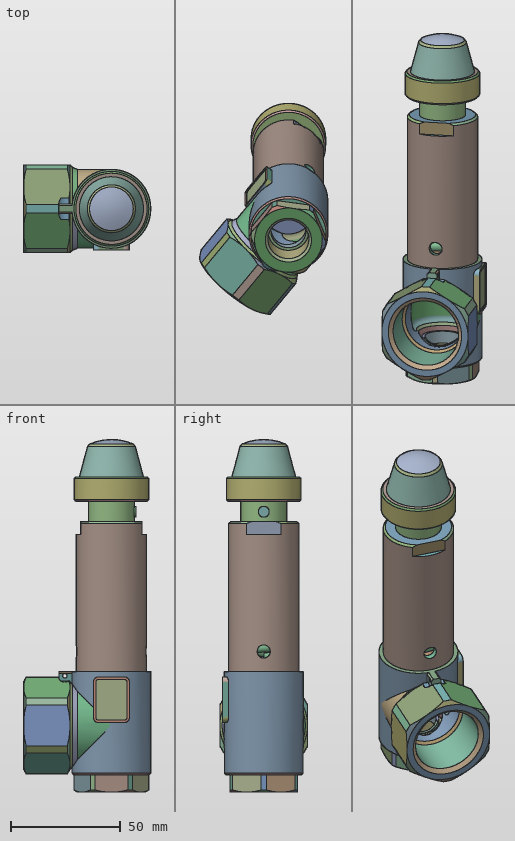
import cadquery as cq
import math


total_height = 160.5
body_bottom_z = 7.9
body_top_z = 54.9
tube_top_z = 123.1
cap_bottom_z = 132.3

body_radius = 18.0
body_bottom_chamfer = 0.8
inlet_hex_across_flats = 30.8
inlet_hex_across_corners = 34.2
outlet_axis_z = 30.3
outlet_end_x = -40.0
outlet_hex_across_flats = 40.0
outlet_hex_across_corners = 44.0
hex_chamfer_angle = math.radians(30)
outlet_hex_back_x = -20.0
outlet_cone_x = -17.7
outlet_cone_radius = 19.0
neck_start_x = -15.4

outlet_thread_diameter = 30.3
outlet_mouth_diameter = 34.0
outlet_thread_depth = 22.5
outlet_bore_diameter = 28.0
chamber_radius = 14.3
chamber_floor_z = 21.7
chamber_ceiling_z = 43.3
chamber_fillet = 2.4
groove_radius = 10.9
groove_rim_z = 20.4
groove_floor_z = 16.0
nozzle_outer_diameter = 18.6
nozzle_top_z = 18.5
nozzle_bore_diameter = 16.0
inlet_thread_diameter = 18.6
inlet_mouth_diameter = 21.0
inlet_thread_depth = 12.8

plate_width = 16.4
plate_height = 20.9
plate_center_z = 42.0
plate_face_y = -18.8
plate_corner_radius = 2.4
plate_rim = 1.1
plate_recess = 0.5

lug_end_x = -23.9
lug_half_width = 2.2
lug_chamfer = 0.8
lug_hole_x = -21.2
lug_hole_z = 53.0
lug_hole_diameter = 2.0
lug_pocket_diameter = 6.0
lug_pocket_width = 10.0

tube_radius = 16.0
tube_chamfer = 1.0
tube_flat_distance = 28.0
tube_flat_bottom_z = 117.3
spigot_radius = chamber_radius - chamber_fillet
vent_diameter = 6.0
vent_z = 64.0

cavity_diameter = 26.5
cavity_floor_z = 59.4
wire_diameter = 3.9
coil_pitch = 4.2
coil_turns = 12
coil_mean_radius = 10.8
spring_end_gap = 0.2
spring_start_z = cavity_floor_z + wire_diameter / 2 + spring_end_gap
cavity_top_z = spring_start_z + coil_turns * coil_pitch + wire_diameter / 2 + spring_end_gap

stem_diameter = 21.0
stem_top_z = 143.5
screw_diameter = 5.0
screw_z = 127.6
screw_inner_x = 4.8
screw_outer_x = 11.2

cap_rim_radius = 17.0
cap_rim_top_z = 143.5
cap_chamfer = 0.8
cap_cone_base_radius = 14.6
cap_cone_top_radius = 10.9
cap_cone_top_z = 157.3
cap_dome_radius = 10.0
cap_dome_base_z = 158.4


def cylinder_z(diameter, z_low, z_high):
    return cq.Workplane("XY", origin=(0, 0, z_low)).circle(diameter / 2).extrude(z_high - z_low)


def cylinder_x(diameter, x_low, x_high, z):
    return cq.Workplane("YZ", origin=(x_low, 0, z)).circle(diameter / 2).extrude(x_high - x_low)


def cylinder_y(diameter, width, x, z):
    return cq.Workplane("XZ", origin=(x, 0, z)).circle(diameter / 2).extrude(width / 2, both=True)


def turned_z(points):
    """Solid turned about the main axis from (radius, z) points."""
    return cq.Workplane("XZ").polyline(points).close().revolve(360, (0, 0), (0, 1))


def turned_outlet(points):
    """Solid turned about the outlet axis from (x, radius) points."""
    profile = cq.Workplane("XZ", origin=(0, 0, outlet_axis_z)).polyline(points).close()
    return profile.revolve(360, (0, 0), (1, 0))


def cut_corner_hexagon(workplane, across_flats, across_corners, length):
    """Hexagonal bar whose corners are cut off by six narrow flats; corners lie on the local X axis."""
    bar = workplane.polygon(6, across_flats / math.cos(math.pi / 6)).extrude(length)
    corner_cutter = (
        workplane.transformed(rotate=(0, 0, 30))
        .polygon(6, across_corners / math.cos(math.pi / 6))
        .extrude(length)
    )
    return bar.intersect(corner_cutter)


def inlet_hexagon():
    bar = cut_corner_hexagon(
        cq.Workplane("XY"), inlet_hex_across_flats, inlet_hex_across_corners, body_bottom_z
    )
    flat_radius = inlet_hex_across_flats / 2
    widest_radius = inlet_hex_across_corners
    chamfer_height = (widest_radius - flat_radius) * math.tan(hex_chamfer_angle)
    envelope = turned_z([
        (0, 0),
        (flat_radius, 0),
        (widest_radius, chamfer_height),
        (widest_radius, body_bottom_z),
        (0, body_bottom_z),
    ])
    return bar.intersect(envelope)


def outlet_hexagon():
    plane = cq.Plane(origin=(outlet_end_x, 0, outlet_axis_z), xDir=(0, 0, 1), normal=(1, 0, 0))
    bar = cut_corner_hexagon(
        cq.Workplane(plane),
        outlet_hex_across_flats,
        outlet_hex_across_corners,
        outlet_cone_x - outlet_end_x,
    )
    flat_radius = outlet_hex_across_flats / 2
    corner_radius = outlet_hex_across_corners / 2 / math.cos(math.pi / 36)
    chamfer_length = (corner_radius - flat_radius) * math.tan(hex_chamfer_angle)
    envelope = turned_outlet([
        (outlet_end_x, 0),
        (outlet_end_x, flat_radius),
        (outlet_end_x + chamfer_length, corner_radius),
        (outlet_hex_back_x, corner_radius),
        (outlet_hex_back_x + chamfer_length, flat_radius),
        (outlet_cone_x, outlet_cone_radius),
        (outlet_cone_x, 0),
    ])
    return bar.intersect(envelope)


def outlet_neck():
    return turned_outlet([
        (outlet_cone_x, 0),
        (outlet_cone_x, outlet_cone_radius),
        (neck_start_x, body_radius),
        (0, body_radius),
        (0, 0),
    ])


def name_plate():
    face = cq.Workplane("XZ", origin=(0, 0, plate_center_z))
    plate = face.rect(plate_width, plate_height).extrude(-plate_face_y)
    plate = plate.edges("|Y").fillet(plate_corner_radius)
    recess = (
        cq.Workplane("XZ", origin=(0, plate_face_y + plate_recess, plate_center_z))
        .rect(plate_width - 2 * plate_rim, plate_height - 2 * plate_rim)
        .extrude(plate_recess)
        .edges("|Y")
        .fillet(plate_corner_radius - plate_rim)
    )
    return plate.cut(recess)


def lug():
    plane = cq.Workplane("XY", origin=(0, 0, outlet_axis_z))
    bar = plane.rect(-2 * lug_end_x, 2 * lug_half_width).extrude(body_top_z - outlet_axis_z)
    bar = bar.edges("|X and >Z").chamfer(lug_chamfer)
    keep = plane.center(lug_end_x / 2, 0).rect(-lug_end_x, 2 * lug_half_width)
    bar = bar.intersect(keep.extrude(body_top_z - outlet_axis_z))
    return bar.cut(cylinder_y(lug_hole_diameter, 2 * lug_half_width, lug_hole_x, lug_hole_z))


def chamber():
    """Valve chamber with the groove around the inlet nozzle."""
    room = cylinder_z(2 * chamber_radius, chamber_floor_z, chamber_ceiling_z)
    room = room.faces("<Z or >Z").edges().fillet(chamber_fillet)
    groove = turned_z([
        (0, groove_floor_z),
        (groove_radius, groove_floor_z),
        (groove_radius, groove_rim_z),
        (chamber_radius - chamber_fillet, chamber_floor_z),
        (0, chamber_floor_z),
    ])
    nozzle = cylinder_z(nozzle_outer_diameter, groove_floor_z, nozzle_top_z)
    return room.union(groove).cut(nozzle)


def inlet_bore():
    thread_radius = inlet_thread_diameter / 2
    mouth_radius = inlet_mouth_diameter / 2
    nozzle_radius = nozzle_bore_diameter / 2
    return turned_z([
        (0, 0),
        (mouth_radius, 0),
        (thread_radius, mouth_radius - thread_radius),
        (thread_radius, inlet_thread_depth),
        (nozzle_radius, inlet_thread_depth),
        (nozzle_radius, nozzle_top_z),
        (0, nozzle_top_z),
    ])


def outlet_bore():
    mouth_radius = outlet_mouth_diameter / 2
    thread_radius = outlet_thread_diameter / 2
    bore_radius = outlet_bore_diameter / 2
    thread_end_x = outlet_end_x + outlet_thread_depth
    return turned_outlet([
        (outlet_end_x, 0),
        (outlet_end_x, mouth_radius),
        (outlet_end_x + mouth_radius - thread_radius, thread_radius),
        (thread_end_x, thread_radius),
        (thread_end_x + thread_radius - bore_radius, bore_radius),
        (0, bore_radius),
        (0, 0),
    ])


def make_housing():
    body = cylinder_z(2 * body_radius, body_bottom_z, body_top_z)
    body = body.faces("<Z").edges().chamfer(body_bottom_chamfer)
    outlet = outlet_hexagon().cut(
        cylinder_y(lug_pocket_diameter, lug_pocket_width, lug_hole_x, lug_hole_z)
    )
    solid = body.union(outlet_neck()).union(outlet).union(inlet_hexagon())
    solid = solid.union(name_plate()).union(lug())
    solid = solid.cut(chamber()).cut(inlet_bore()).cut(outlet_bore())
    return solid.cut(cylinder_z(2 * spigot_radius, chamber_ceiling_z - chamber_fillet, body_top_z))


def make_tube():
    tube = cylinder_z(2 * tube_radius, body_top_z, tube_top_z)
    tube = tube.faces(">Z").edges().chamfer(tube_chamfer)
    flat_height = tube_top_z - tube_flat_bottom_z
    flats = (
        cq.Workplane("XY", origin=(0, 0, tube_flat_bottom_z))
        .rect(4 * tube_radius, 2 * tube_radius)
        .rect(tube_flat_distance, 2 * tube_radius)
        .extrude(flat_height)
    )
    tube = tube.cut(flats)
    tube = tube.union(cylinder_z(2 * spigot_radius, chamber_ceiling_z, body_top_z))
    tube = tube.cut(cylinder_z(cavity_diameter, cavity_floor_z, cavity_top_z))
    tube = tube.cut(cylinder_z(stem_diameter, cavity_top_z, tube_top_z))
    return tube.cut(cylinder_x(vent_diameter, -tube_radius, tube_radius, vent_z))


def make_spring():
    path = cq.Wire.makeHelix(coil_pitch, coil_turns * coil_pitch, coil_mean_radius)
    wire = cq.Workplane("XZ").center(coil_mean_radius, 0).circle(wire_diameter / 2)
    coil = wire.sweep(cq.Workplane(path), isFrenet=True)
    return coil.translate((0, 0, spring_start_z))


def make_screw():
    return cylinder_x(screw_diameter, screw_inner_x, screw_outer_x, screw_z)


def make_stem():
    return cylinder_z(stem_diameter, cavity_top_z, stem_top_z).cut(make_screw())


def make_cap():
    profile = (
        cq.Workplane("XZ")
        .moveTo(0, cap_bottom_z)
        .lineTo(cap_rim_radius - cap_chamfer, cap_bottom_z)
        .lineTo(cap_rim_radius, cap_bottom_z + cap_chamfer)
        .lineTo(cap_rim_radius, cap_rim_top_z - cap_chamfer)
        .lineTo(cap_rim_radius - cap_chamfer, cap_rim_top_z)
        .lineTo(cap_cone_base_radius, cap_rim_top_z)
        .lineTo(cap_cone_top_radius, cap_cone_top_z)
        .lineTo(cap_dome_radius, cap_dome_base_z)
    )
    dome_height = total_height - cap_dome_base_z
    dome_sphere_radius = (cap_dome_radius**2 + dome_height**2) / (2 * dome_height)
    profile = profile.radiusArc((0, total_height), -dome_sphere_radius).close()
    cap = profile.revolve(360, (0, 0), (0, 1))
    return cap.cut(cylinder_z(stem_diameter, cap_bottom_z, stem_top_z))


housing = make_housing()
tube = make_tube()
spring = make_spring()
stem = make_stem()
screw = make_screw()
cap = make_cap()

result = cq.Compound.makeCompound([
    housing.solids().val(),
    tube.solids().val(),
    spring.solids().val(),
    stem.solids().val(),
    screw.solids().val(),
    cap.solids().val(),
])